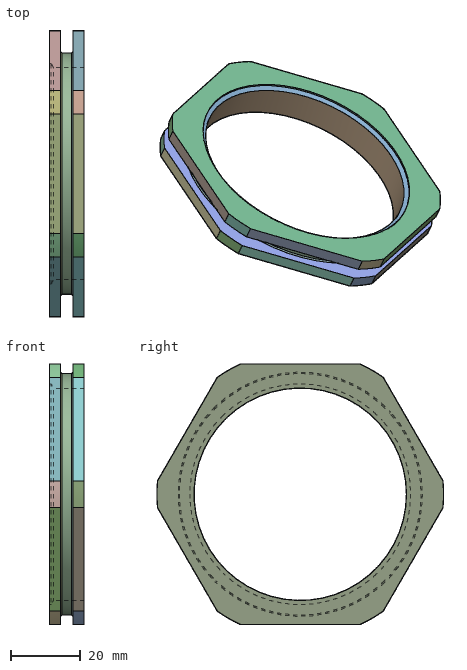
import cadquery as cq
import math

width = 10.0
across_flats = 75.0
corner_diameter = 82.5

bore_diameter = 61.0
mouth_diameter = 63.5
counterbore_depth = 0.5
cone_slope = math.radians(30)
cone_depth = (mouth_diameter - bore_diameter) / 2 * math.tan(cone_slope)

flange_thickness = 3.25
groove_diameter = 69.5
corner_bevel = 0.375

across_corners = across_flats / math.cos(math.pi / 6)


def revolve_about_x(profile):
    """Solid of revolution about X from (x, radius) points."""
    outline = cq.Workplane("XY").polyline(profile).close()
    return outline.revolve(360, (0, 0, 0), (1, 0, 0))


def hexagon_blank():
    """Hexagonal prism along X with its corners turned round."""
    prism = cq.Workplane("YZ").polygon(6, across_corners).extrude(width)
    corner_limit = cq.Workplane("YZ").circle(corner_diameter / 2).extrude(width)
    return prism.intersect(corner_limit).translate((-width / 2, 0, 0))


def groove_cutter():
    """Ring that leaves the groove, with a bevel at both corners of its floor."""
    half_width = width / 2 - flange_thickness
    half_floor = half_width - corner_bevel
    floor_radius = groove_diameter / 2
    wall_radius = floor_radius + corner_bevel
    outer_radius = across_corners / 2
    return revolve_about_x([
        (-half_width, outer_radius),
        (-half_width, wall_radius),
        (-half_floor, floor_radius),
        (half_floor, floor_radius),
        (half_width, wall_radius),
        (half_width, outer_radius),
    ])


def bore_cutter():
    """Through bore with a cone and a shallow counterbore at its -X mouth."""
    mouth_x = -width / 2
    cone_start_x = mouth_x + counterbore_depth
    return revolve_about_x([
        (mouth_x, 0),
        (mouth_x, mouth_diameter / 2),
        (cone_start_x, mouth_diameter / 2),
        (cone_start_x + cone_depth, bore_diameter / 2),
        (width / 2, bore_diameter / 2),
        (width / 2, 0),
    ])


result = hexagon_blank().cut(groove_cutter()).cut(bore_cutter())